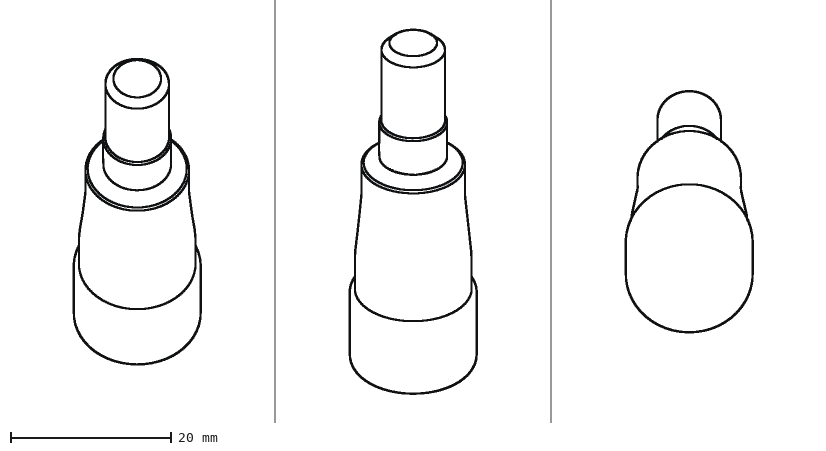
import cadquery as cq
import math

overall_height = 48.0
cap_height = 11.05
taper_bottom = 16.2
taper_top = 25.0
handle_top = 30.0
collar_top = 36.35

cap_radius = 7.945
cap_bottom_fillet = 1.2
cap_lip_fillet = 0.45

handle_lower_radius = 7.3
handle_upper_radius = 6.5
handle_blend_radius = 10.0
handle_top_chamfer = 0.3

collar_diameter = 8.5
collar_radius = collar_diameter / 2
stud_radius = 4.0
stud_chamfer = 1.0
undercut_radius = 0.45
undercut_height = 1.0

taper_angle = math.atan2(handle_lower_radius - handle_upper_radius, taper_top - taper_bottom)
blend_length = handle_blend_radius * math.tan(taper_angle / 2)
blend_step = blend_length * math.sin(taper_angle)
blend_rise = blend_length * math.cos(taper_angle)


def add_lower_handle(outline):
    """Draw the lower cylinder and its blend into the taper."""
    return (
        outline.lineTo(handle_lower_radius, cap_height)
        .lineTo(handle_lower_radius, taper_bottom - blend_length)
        .tangentArcPoint((handle_lower_radius - blend_step, taper_bottom + blend_rise), relative=False)
    )


def add_upper_handle(outline):
    """Draw the taper, its blend into the upper cylinder and the chamfered top face."""
    return (
        outline.lineTo(handle_upper_radius + blend_step, taper_top - blend_rise)
        .tangentArcPoint((handle_upper_radius, taper_top + blend_length), relative=False)
        .lineTo(handle_upper_radius, handle_top - handle_top_chamfer)
        .lineTo(handle_upper_radius - handle_top_chamfer, handle_top)
    )


def add_stud(outline):
    """Draw the undercut with its two quarter arcs, the collar and the chamfered stud."""
    undercut_floor = collar_radius - undercut_radius
    undercut_top = handle_top + undercut_height
    collar_chamfer = collar_radius - stud_radius
    return (
        outline.lineTo(collar_radius, handle_top)
        .radiusArc((undercut_floor, handle_top + undercut_radius), undercut_radius)
        .lineTo(undercut_floor, undercut_top - undercut_radius)
        .radiusArc((collar_radius, undercut_top), undercut_radius)
        .lineTo(collar_radius, collar_top - collar_chamfer)
        .lineTo(stud_radius, collar_top)
        .lineTo(stud_radius, overall_height - stud_chamfer)
        .lineTo(stud_radius - stud_chamfer, overall_height)
    )


def make_handle():
    """Turn the tapered handle and its stud as one piece standing on the cap."""
    outline = cq.Workplane("XZ").moveTo(0, cap_height)
    outline = add_lower_handle(outline)
    outline = add_upper_handle(outline)
    outline = add_stud(outline)
    return outline.lineTo(0, overall_height).close().revolve(360, (0, 0, 0), (0, 1, 0))


def make_cap():
    """Make the cylindrical end cap with a rounded bottom and a rounded lip."""
    cap = cq.Workplane("XY").circle(cap_radius).extrude(cap_height)
    cap = cap.faces("<Z").edges().fillet(cap_bottom_fillet)
    return cap.faces(">Z").edges().fillet(cap_lip_fillet)


handle = make_handle()
cap = make_cap()

result = cq.Compound.makeCompound([handle.val(), cap.val()])